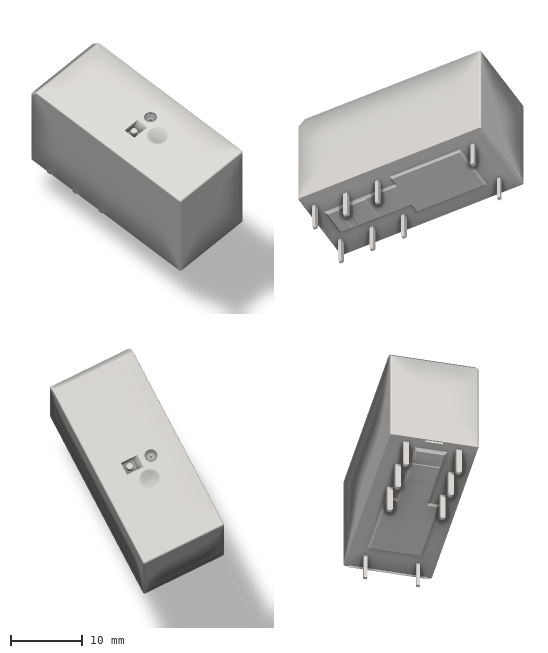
import cadquery as cq

LENGTH = 29.0
WIDTH = 12.6
TOTAL_HEIGHT = 19.6
PIN_LENGTH = 4.2
HOUSING_HEIGHT = TOTAL_HEIGHT - PIN_LENGTH
END_CHAMFER = 1.05
EDGE_RADIUS = 0.23

PIN_ROW_Y = 3.77
PIN_WIDTH = 0.78
PIN_PITCH = 5.0
FIRST_PIN_X = -13.17
THIN_PIN = 0.5
THICK_PIN = 0.58
CONTACT_PINS = [
    (FIRST_PIN_X, THIN_PIN),
    (FIRST_PIN_X + PIN_PITCH, THICK_PIN),
    (FIRST_PIN_X + 2 * PIN_PITCH, THIN_PIN),
]
COIL_PIN_X = 11.92
COIL_PIN_LENGTH = 3.92

PAD_HEIGHT = 0.3
HIGH_PAD_HEIGHT = 0.38
PAD_START_X = -12.53
PAD_END_X = 9.98
SPINE_WIDTH = 4.65
WIDE_PAD_START_X = -1.3
WIDE_PAD_WIDTH = 7.83
HIGH_PAD_END_X = -5.8
GAP_START_X = -10.1
GAP_END_X = -9.72

RIB_THICKNESS = 0.1
RIB_X = 14.27
SHORT_RIB_WIDTH = 2.5
LONG_RIB_WIDTH = 11.3

TOP_HOLES_X = 1.0
HOLE_Y = 1.68
HOLE_DIAMETER = 1.8
HOLE_FLOOR_DIAMETER = 1.22
HOLE_WALL_DEPTH = 0.4
HOLE_DEPTH = 0.72
CENTRE_HOLE_DIAMETER = 0.35
CENTRE_HOLE_DEPTH = 0.3

POCKET_WIDTH = 1.88
POCKET_BACK_Y = 0.03
POCKET_FRONT_Y = -2.52
POCKET_SLOPE_RUN = 0.75
POCKET_DEPTH = 1.0
POST_DIAMETER = 0.9
POST_Y = -1.62
POST_HEIGHT = 0.93

DIMPLE_X = 4.0
DIMPLE_DIAMETER = 3.0
DIMPLE_DEPTH = 0.5

OVERLAP = 0.3


def make_housing():
    """Box with a chamfered top -X edge; every edge but the bottom rim is rounded."""
    box = cq.Workplane("XY").box(LENGTH, WIDTH, HOUSING_HEIGHT, centered=(True, True, False))
    box = box.edges(">Z and <X").chamfer(END_CHAMFER)
    return box.edges("not <Z").fillet(EDGE_RADIUS)


def contact_pin(x, y, thickness):
    """Blade along -Z whose tip is fully rounded across its width."""
    radius = PIN_WIDTH / 2
    return (
        cq.Workplane("YZ", origin=(x, y, 0))
        .moveTo(-radius, OVERLAP)
        .lineTo(-radius, radius - PIN_LENGTH)
        .threePointArc((0, -PIN_LENGTH), (radius, radius - PIN_LENGTH))
        .lineTo(radius, OVERLAP)
        .close()
        .extrude(thickness / 2, both=True)
    )


def coil_pin(y):
    """Square pin with a flat end."""
    length = COIL_PIN_LENGTH + OVERLAP
    return cq.Workplane("XY", origin=(COIL_PIN_X, y, OVERLAP)).rect(THIN_PIN, THIN_PIN).extrude(-length)


def pad(start_x, end_x, width, height):
    """Flat pad below the housing, tapering inward at 45 degrees on all sides."""
    centre_x = (start_x + end_x) / 2
    return (
        cq.Workplane("XY", origin=(centre_x, 0, 0))
        .rect(end_x - start_x, width)
        .extrude(-height, taper=45)
    )


def end_rib(x, width):
    """Thin rib across one end, as deep as the lower pads."""
    return (
        cq.Workplane("XY", origin=(x, 0, OVERLAP))
        .rect(RIB_THICKNESS, width)
        .extrude(-PAD_HEIGHT - OVERLAP)
    )


def stepped_hole():
    """Short bore, conical seat and small centre hole, as one revolved tool."""
    top = HOUSING_HEIGHT
    floor = top - HOLE_DEPTH
    centre_radius = CENTRE_HOLE_DIAMETER / 2
    return (
        cq.Workplane("XZ", origin=(TOP_HOLES_X, HOLE_Y, 0))
        .moveTo(0, top)
        .lineTo(HOLE_DIAMETER / 2, top)
        .lineTo(HOLE_DIAMETER / 2, top - HOLE_WALL_DEPTH)
        .lineTo(HOLE_FLOOR_DIAMETER / 2, floor)
        .lineTo(centre_radius, floor)
        .lineTo(centre_radius, floor - CENTRE_HOLE_DEPTH)
        .lineTo(0, floor - CENTRE_HOLE_DEPTH)
        .close()
        .revolve(360, (0, 0), (0, 1))
    )


def pocket():
    """Rectangular pocket with a sloped +Y wall and a round post on its floor."""
    floor = HOUSING_HEIGHT - POCKET_DEPTH
    cavity = (
        cq.Workplane("YZ", origin=(TOP_HOLES_X, 0, 0))
        .moveTo(POCKET_FRONT_Y, HOUSING_HEIGHT)
        .lineTo(POCKET_FRONT_Y, floor)
        .lineTo(POCKET_BACK_Y - POCKET_SLOPE_RUN, floor)
        .lineTo(POCKET_BACK_Y, HOUSING_HEIGHT)
        .close()
        .extrude(POCKET_WIDTH / 2, both=True)
    )
    post = (
        cq.Workplane("XY", origin=(TOP_HOLES_X, POST_Y, floor))
        .circle(POST_DIAMETER / 2)
        .extrude(POST_HEIGHT)
    )
    return cavity.cut(post)


def dimple():
    """Sphere that leaves a shallow round dish in the top face."""
    rim_radius = DIMPLE_DIAMETER / 2
    sphere_radius = (rim_radius**2 + DIMPLE_DEPTH**2) / (2 * DIMPLE_DEPTH)
    centre_z = HOUSING_HEIGHT - DIMPLE_DEPTH + sphere_radius
    return cq.Workplane("XY", origin=(DIMPLE_X, 0, centre_z)).sphere(sphere_radius)


result = make_housing()
for tool in (stepped_hole(), pocket(), dimple()):
    result = result.cut(tool)

for row_y in (-PIN_ROW_Y, PIN_ROW_Y):
    for pin_x, pin_thickness in CONTACT_PINS:
        result = result.union(contact_pin(pin_x, row_y, pin_thickness))
    result = result.union(coil_pin(row_y))

result = result.union(pad(PAD_START_X, PAD_END_X, SPINE_WIDTH, PAD_HEIGHT))
result = result.union(pad(WIDE_PAD_START_X, PAD_END_X, WIDE_PAD_WIDTH, PAD_HEIGHT))
result = result.union(pad(PAD_START_X, GAP_START_X, SPINE_WIDTH, HIGH_PAD_HEIGHT))
result = result.union(pad(GAP_END_X, HIGH_PAD_END_X, SPINE_WIDTH, HIGH_PAD_HEIGHT))

result = result.union(end_rib(-RIB_X, SHORT_RIB_WIDTH))
result = result.union(end_rib(RIB_X, LONG_RIB_WIDTH))